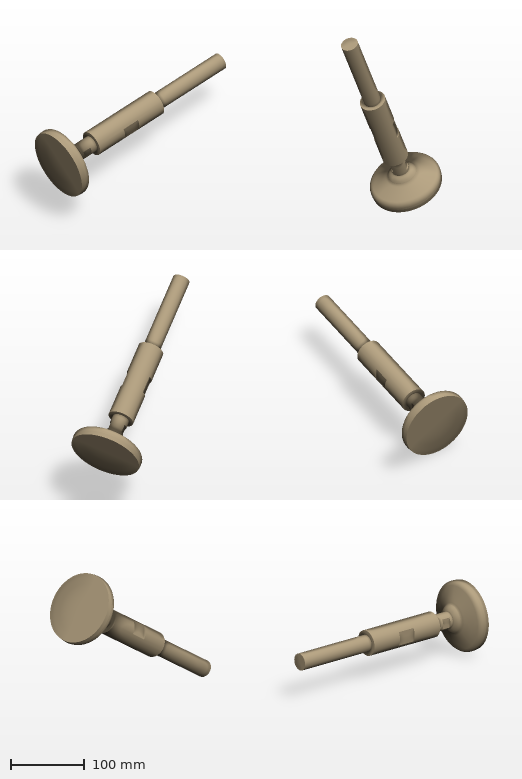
import cadquery as cq
import math

total_length = 290.0

foot_radius = 100.0 / 2
floor_radius = 49.3
rim_bottom = 6.0
rim_top = 8.7
rim_round = 7.5
cone_slope = math.radians(20)
neck_radius = 22.5
collar_radius = 20.3
collar_fillet_sag = 0.17
collar_height = 25.5
dome_top = 32.5
dome_bulge = 1.2

rod_radius = 12.0

sleeve_radius = 18.0
sleeve_bottom = 59.5
sleeve_length = 114.5

rod_flat_bottom = 36.8
rod_flat_length = 12.5
rod_flat_width = 18.8
sleeve_flat_length = 25.5
sleeve_flat_width = 30.2

floor_y = -total_length / 2


def cylinder(radius, bottom, length):
    """Solid cylinder on the Y axis, starting at a height above the floor."""
    base = cq.Workplane("XZ", origin=(0, floor_y + bottom, 0))
    return base.circle(radius).extrude(-length)


def wrench_flats(body, radius, bottom, length, width):
    """Cut two opposite flats into a round body."""
    depth = radius - width / 2
    for side in (-1, 1):
        cutter = cq.Workplane("XY").box(depth, length, 2 * radius)
        middle_x = side * (width / 2 + depth / 2)
        body = body.cut(cutter.translate((middle_x, floor_y + bottom + length / 2, 0)))
    return body


def make_foot():
    """Round foot: tapered edge, rounded rim, cone, filleted collar and domed top."""
    round_centre = foot_radius - rim_round
    half_angle = (math.pi / 2 - cone_slope) / 2
    round_middle = (
        round_centre + rim_round * math.cos(half_angle),
        rim_top + rim_round * math.sin(half_angle),
    )
    round_end = (
        round_centre + rim_round * math.sin(cone_slope),
        rim_top + rim_round * math.cos(cone_slope),
    )
    neck_height = round_end[1] + (round_end[0] - neck_radius) * math.tan(cone_slope)
    profile = (
        cq.Workplane("XY")
        .lineTo(floor_radius, 0)
        .lineTo(foot_radius, rim_bottom)
        .lineTo(foot_radius, rim_top)
        .threePointArc(round_middle, round_end)
        .lineTo(neck_radius, neck_height)
        .sagittaArc((collar_radius, collar_height), collar_fillet_sag)
        .sagittaArc((rod_radius, dome_top), -dome_bulge)
        .lineTo(0, dome_top)
        .close()
    )
    return profile.revolve(360, (0, 0), (0, 1)).translate((0, floor_y, 0))


def make_spindle():
    """Foot and full-length rod in one piece, with wrench flats just above the foot."""
    rod = cylinder(rod_radius, dome_top, total_length - dome_top)
    rod = wrench_flats(rod, rod_radius, rod_flat_bottom, rod_flat_length, rod_flat_width)
    return make_foot().union(rod)


def make_sleeve():
    """Tubular nut around the rod, with wrench flats at mid-length."""
    bore = cylinder(rod_radius, sleeve_bottom, sleeve_length)
    sleeve = cylinder(sleeve_radius, sleeve_bottom, sleeve_length).cut(bore)
    flat_bottom = sleeve_bottom + (sleeve_length - sleeve_flat_length) / 2
    return wrench_flats(
        sleeve, sleeve_radius, flat_bottom, sleeve_flat_length, sleeve_flat_width
    )


spindle = make_spindle()
sleeve = make_sleeve()

result = cq.Compound.makeCompound([spindle.val(), sleeve.val()])